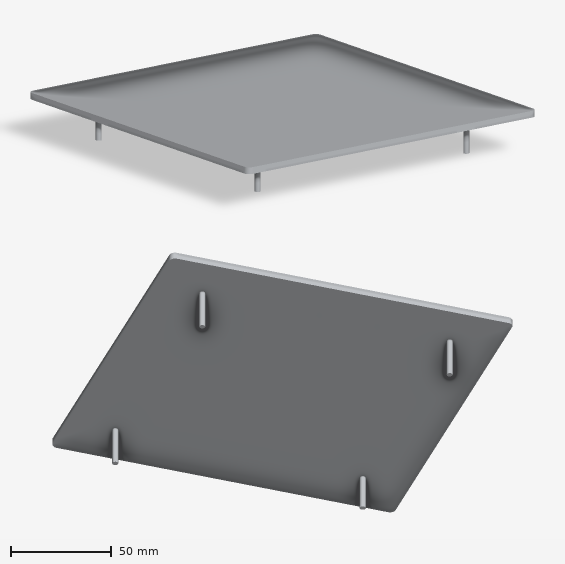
import cadquery as cq

plate_side = 180.0
plate_thickness = 3.5
corner_radius = 3.0

post_diameter = 3.0
post_spacing = 130.0
long_post_length = 20.0
short_post_length = 18.0

post_offset = post_spacing / 2
long_post_places = [
    (-post_offset, -post_offset),
    (-post_offset, post_offset),
    (post_offset, post_offset),
]
short_post_place = (post_offset, -post_offset)


def make_post(place, length):
    """Round post reaching down from the underside of the plate."""
    return cq.Workplane("XY").center(*place).circle(post_diameter / 2).extrude(-length)


def make_plate():
    """Square plate with rounded corners and three long posts in one piece."""
    plate = cq.Workplane("XY").rect(plate_side, plate_side).extrude(plate_thickness)
    plate = plate.edges("|Z").fillet(corner_radius)
    for place in long_post_places:
        plate = plate.union(make_post(place, long_post_length))
    return plate


def make_short_post():
    """Separate, shorter post that touches the underside at the fourth corner."""
    return make_post(short_post_place, short_post_length)


plate = make_plate()
short_post = make_short_post()

result = cq.Compound.makeCompound([plate.val(), short_post.val()])